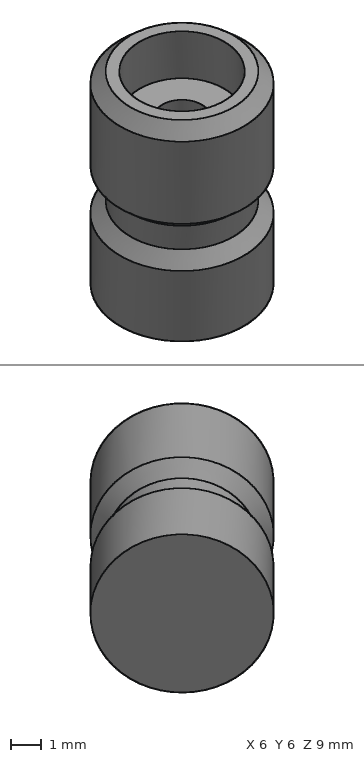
import cadquery as cq

height = 9.0
body_diameter = 6.0
body_radius = body_diameter / 2

bevel = 0.5
neck_radius = body_radius - bevel
neck_bottom = 3.5
neck_top = 4.5

socket_diameter = 4.1
socket_depth = 2.0
pilot_diameter = 1.9
pilot_depth = 2.0


def make_body():
    """Revolve the half outline (radius, height) about the Z axis."""
    outline = [
        (0, 0),
        (body_radius, 0),
        (body_radius, neck_bottom - bevel),
        (neck_radius, neck_bottom),
        (neck_radius, neck_top),
        (body_radius, neck_top + bevel),
        (body_radius, height - bevel),
        (body_radius - bevel, height),
        (0, height),
    ]
    return cq.Workplane("XZ").polyline(outline).close().revolve(360, (0, 0), (0, 1))


def blind_bore(diameter, top, depth):
    """Cylinder that cuts downward from the given height."""
    return cq.Workplane("XY").workplane(offset=top).circle(diameter / 2).extrude(-depth)


socket_floor = height - socket_depth
socket = blind_bore(socket_diameter, height, socket_depth)
pilot = blind_bore(pilot_diameter, socket_floor, pilot_depth)

result = make_body().cut(socket).cut(pilot)